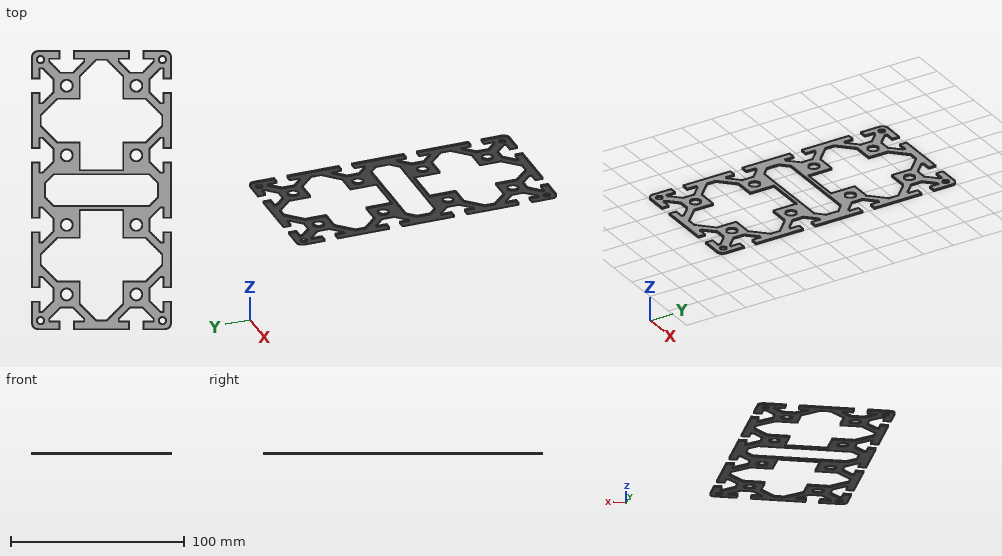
import cadquery as cq

pitch = 40.0
columns = 2
rows = 4
width = columns * pitch
length = rows * pitch
thickness = 1.0
corner_radius = 3.5

core_hole_diameter = 6.7
corner_hole_diameter = 4.0
corner_hole_inset = 5.0

slot_opening = 8.2
slot_lip = 4.5
slot_inner_width = 20.0
slot_step = 1.6
slot_floor_width = 7.4
slot_depth = slot_lip + slot_step + (slot_inner_width - slot_floor_width) / 2

cavity_wall = 5.1
arm_half_width = 12.5
arm_end_half_width = 3.0
arm_taper = arm_half_width - arm_end_half_width
arm_reach = pitch - cavity_wall
cavity_inner_edge = 11.5

window_width = 65.0
window_height = 18.0
window_chamfer = 5.0


def mirrored_plate_cut(right_side):
    """Through cutter whose outline is the given right side plus its mirror image about X = 0."""
    left_side = [(-px, py) for px, py in reversed(right_side)]
    return cq.Workplane("XY").polyline(right_side + left_side).close().extrude(thickness)


def t_slot(x, y, turn):
    """Cutter for a T-slot opening at (x, y), running inward along -Y before the turn."""
    opening = slot_opening / 2
    inner = slot_inner_width / 2
    floor = slot_floor_width / 2
    right_side = [
        (opening, 0),
        (opening, -slot_lip),
        (inner, -slot_lip),
        (inner, -slot_lip - slot_step),
        (floor, -slot_depth),
    ]
    cutter = mirrored_plate_cut(right_side)
    return cutter.rotate((0, 0, 0), (0, 0, 1), turn).translate((x, y, 0))


def cross_cavity():
    """Cutter for the +Y cavity: three tapered arms and a square arm toward the centre."""
    shoulder = arm_reach - arm_taper
    right_side = [
        (arm_half_width, cavity_inner_edge),
        (arm_half_width, pitch - arm_half_width),
        (shoulder, pitch - arm_half_width),
        (arm_reach, pitch - arm_end_half_width),
        (arm_reach, pitch + arm_end_half_width),
        (shoulder, pitch + arm_half_width),
        (arm_half_width, pitch + arm_half_width),
        (arm_half_width, pitch + shoulder),
        (arm_end_half_width, pitch + arm_reach),
    ]
    return mirrored_plate_cut(right_side)


plate = cq.Workplane("XY").box(width, length, thickness, centered=(True, True, False))
plate = plate.edges("|Z").fillet(corner_radius)

cavity = cross_cavity()
window = cq.Workplane("XY").rect(window_width, window_height).extrude(thickness)
window = window.edges("|Z").chamfer(window_chamfer)
plate = plate.cut(cavity).cut(cavity.mirror("XZ")).cut(window)

column_centers = [(i - (columns - 1) / 2) * pitch for i in range(columns)]
row_centers = [(i - (rows - 1) / 2) * pitch for i in range(rows)]
for x in column_centers:
    plate = plate.cut(t_slot(x, length / 2, 0))
    plate = plate.cut(t_slot(x, -length / 2, 180))
for y in row_centers:
    plate = plate.cut(t_slot(-width / 2, y, 90))
    plate = plate.cut(t_slot(width / 2, y, -90))

core_centers = [(x, y) for x in column_centers for y in row_centers]
core_holes = cq.Workplane("XY").pushPoints(core_centers).circle(core_hole_diameter / 2).extrude(thickness)
corner_holes = (
    cq.Workplane("XY")
    .rect(width - 2 * corner_hole_inset, length - 2 * corner_hole_inset, forConstruction=True)
    .vertices()
    .circle(corner_hole_diameter / 2)
    .extrude(thickness)
)
result = plate.cut(core_holes).cut(corner_holes)